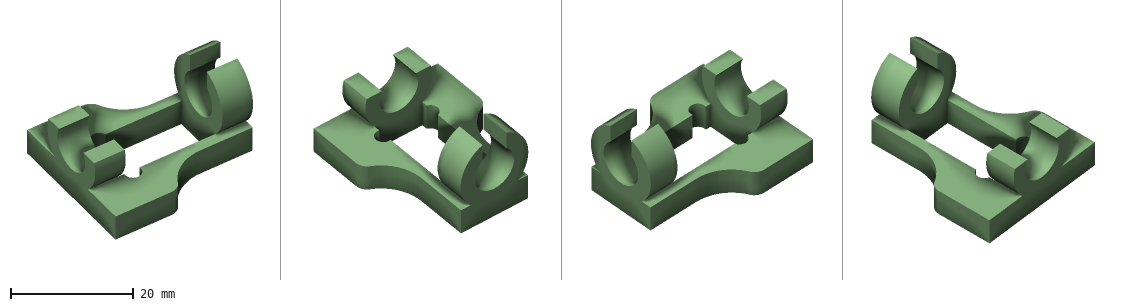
import cadquery as cq
import math

length = 31.0
base_width = 26.0
base_thickness = 5.0
neck_width = 14.0
shoulder_start_y = 10.97
neck_start_y = 20.7
flare_radius = 8.5
shoulder_radius = 2.48

clip_depth = 6.0
clip_axis_z = 10.0
bore_radius = 4.1
front_clip_radius = 7.0
rear_clip_radius = 7.1
front_clip_top_z = 12.0
rear_slot_width = 5.0

window_width = 9.92
notch_radius = 1.52
notch_y = 8.6
left_notch_x = -4.55
right_notch_x = 5.3

half_base = base_width / 2
half_neck = neck_width / 2


def shoulder_corner():
    """Point (x, y) where the concave flare and the convex shoulder meet on the +X side."""
    flare_x = half_neck + flare_radius
    shoulder_x = half_base - shoulder_radius
    dx = shoulder_x - flare_x
    dy = shoulder_start_y - neck_start_y
    distance = math.hypot(dx, dy)
    along = (distance**2 + flare_radius**2 - shoulder_radius**2) / (2 * distance)
    across = math.sqrt(flare_radius**2 - along**2)
    return (
        flare_x + (along * dx - across * dy) / distance,
        neck_start_y + (along * dy + across * dx) / distance,
    )


def arc_midpoint(center, radius, start, end):
    """Middle point of the shorter arc from start to end."""
    dx = (start[0] + end[0]) / 2 - center[0]
    dy = (start[1] + end[1]) / 2 - center[1]
    stretch = radius / math.hypot(dx, dy)
    return (center[0] + dx * stretch, center[1] + dy * stretch)


def make_base():
    side_end = (half_base, shoulder_start_y)
    corner = shoulder_corner()
    neck_start = (half_neck, neck_start_y)
    shoulder_center = (half_base - shoulder_radius, shoulder_start_y)
    flare_center = (half_neck + flare_radius, neck_start_y)
    half_outline = (
        cq.Workplane("XY")
        .lineTo(half_base, 0)
        .lineTo(*side_end)
        .threePointArc(arc_midpoint(shoulder_center, shoulder_radius, side_end, corner), corner)
        .threePointArc(arc_midpoint(flare_center, flare_radius, corner, neck_start), neck_start)
        .lineTo(half_neck, length)
        .lineTo(0, length)
    )
    return half_outline.mirrorY().extrude(base_thickness)


def make_window():
    window_length = length - 2 * clip_depth
    window = (
        cq.Workplane("XY")
        .center(0, length / 2)
        .rect(window_width, window_length)
        .extrude(base_thickness)
    )
    notches = (
        cq.Workplane("XY")
        .pushPoints([(left_notch_x, notch_y), (right_notch_x, notch_y)])
        .circle(notch_radius)
        .extrude(base_thickness)
    )
    return window.union(notches)


def cylinder_along_y(radius, start_y, depth):
    """Cylinder on the clip axis, running towards +Y from start_y."""
    return (
        cq.Workplane("XZ", origin=(0, start_y, clip_axis_z))
        .circle(radius)
        .extrude(-depth)
    )


def make_front_clip():
    disc = cylinder_along_y(front_clip_radius, 0, clip_depth)
    trim_above = (
        cq.Workplane("XY", origin=(0, clip_depth / 2, front_clip_top_z))
        .rect(2 * front_clip_radius, clip_depth)
        .extrude(front_clip_radius)
    )
    return disc.cut(trim_above)


def make_rear_clip():
    rear_start_y = length - clip_depth
    disc = cylinder_along_y(rear_clip_radius, rear_start_y, clip_depth)
    slot = (
        cq.Workplane("XY", origin=(0, rear_start_y + clip_depth / 2, clip_axis_z))
        .rect(rear_slot_width, clip_depth)
        .extrude(rear_clip_radius)
    )
    return disc.cut(slot)


bore = cylinder_along_y(bore_radius, 0, length)

result = (
    make_base()
    .cut(make_window())
    .union(make_front_clip())
    .union(make_rear_clip())
    .cut(bore)
)